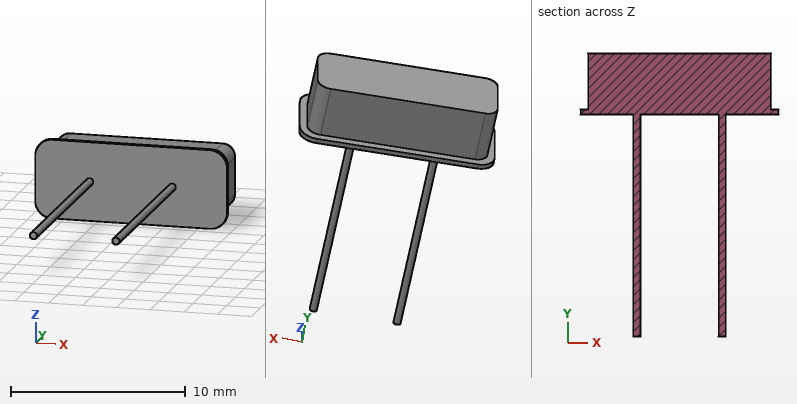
import cadquery as cq

FLANGE_WIDTH = 11.35
FLANGE_HEIGHT = 4.65
FLANGE_THICKNESS = 0.3
FLANGE_CORNER_RADIUS = 1.0

CAN_WIDTH = 10.5
CAN_HEIGHT = 3.7
CAN_LENGTH = 3.2
CAN_CORNER_RADIUS = 0.75

LEAD_DIAMETER = 0.43
LEAD_SPACING = 4.88
LEAD_LENGTH = 12.7


def rounded_block(width, height, length, corner_radius, start_y):
    """Block centred on the Y axis, from start_y toward +Y, with rounded edges along Y."""
    return (
        cq.Workplane("XZ", origin=(0, start_y, 0))
        .rect(width, height)
        .extrude(-length)
        .edges("|Y")
        .fillet(corner_radius)
    )


def lead(center_x):
    """Round wire from the flange toward -Y."""
    return (
        cq.Workplane("XZ")
        .center(center_x, 0)
        .circle(LEAD_DIAMETER / 2)
        .extrude(LEAD_LENGTH)
    )


flange = rounded_block(FLANGE_WIDTH, FLANGE_HEIGHT, FLANGE_THICKNESS, FLANGE_CORNER_RADIUS, 0)
can = rounded_block(CAN_WIDTH, CAN_HEIGHT, CAN_LENGTH, CAN_CORNER_RADIUS, FLANGE_THICKNESS)

result = flange.union(can)
for side in (-1, 1):
    result = result.union(lead(side * LEAD_SPACING / 2))